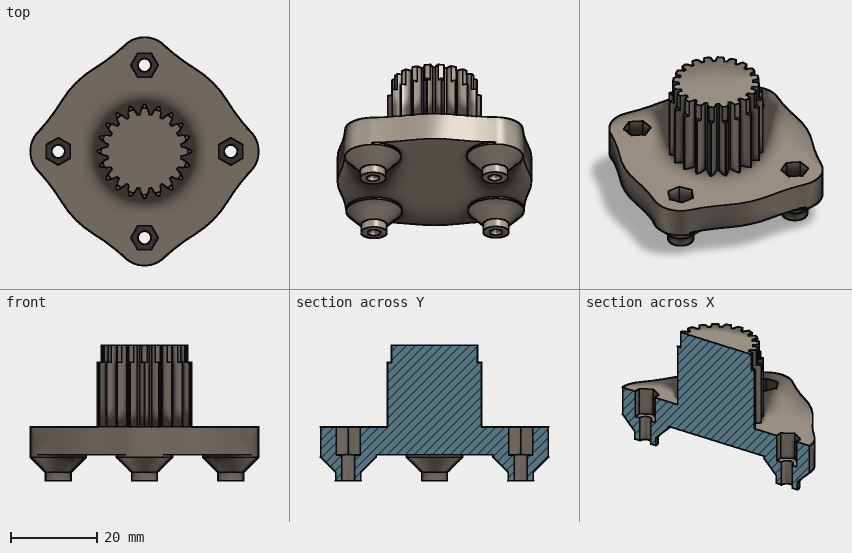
import cadquery as cq
import math

PIN_LENGTH = 2.0
CONE_HEIGHT = 3.5
LIP_HEIGHT = 0.5
FLANGE_THICKNESS = 6.5
GEAR_FULL_HEIGHT = 15.0
GEAR_TOP_HEIGHT = 4.0

CONE_BOTTOM_Z = PIN_LENGTH
LIP_BOTTOM_Z = CONE_BOTTOM_Z + CONE_HEIGHT
FLANGE_BOTTOM_Z = LIP_BOTTOM_Z + LIP_HEIGHT
FLANGE_TOP_Z = FLANGE_BOTTOM_Z + FLANGE_THICKNESS
GEAR_STEP_Z = FLANGE_TOP_Z + GEAR_FULL_HEIGHT

CORNER_COUNT = 4
CORNER_ANGLE = 360 / CORNER_COUNT
BOLT_RADIUS = 20.0
CORNER_RADIUS = 6.5
BULGE_RADIUS = 22.5
HOLLOW_RADIUS = 45.0

PIN_DIAMETER = 6.0
BOLT_HOLE_DIAMETER = 3.0
NUT_SIDES = 6
NUT_ACROSS_FLATS = 5.5
NUT_POCKET_DEPTH = FLANGE_THICKNESS

TOOTH_COUNT = 20
TOOTH_ANGLE = 360 / TOOTH_COUNT
ROOT_RADIUS = 8.6
PITCH_RADIUS = 10.0
TIP_RADIUS = 10.95
ROOT_HALF_WIDTH = 1.05
PITCH_HALF_WIDTH = 0.66
TIP_HALF_WIDTH = 0.11


def polar(radius, degrees):
    """Point at a radius and angle about the part's axis."""
    angle = math.radians(degrees)
    return (radius * math.cos(angle), radius * math.sin(angle))


def toward(start, target, distance):
    """Point at a distance from start along the line to target."""
    ratio = distance / math.dist(start, target)
    return (start[0] + ratio * (target[0] - start[0]), start[1] + ratio * (target[1] - start[1]))


def hollow_center_angle():
    """Angle from a corner to the center of the hollow arc tangent to that corner and the bulge."""
    to_axis = BULGE_RADIUS + HOLLOW_RADIUS
    to_corner = CORNER_RADIUS + HOLLOW_RADIUS
    cosine = (to_axis**2 + BOLT_RADIUS**2 - to_corner**2) / (2 * to_axis * BOLT_RADIUS)
    return math.degrees(math.acos(cosine))


def corner_joint(corner_angle, hollow_angle):
    """Tangent point of a round corner and the hollow arc beside it."""
    hollow_center = polar(BULGE_RADIUS + HOLLOW_RADIUS, hollow_angle)
    return toward(polar(BOLT_RADIUS, corner_angle), hollow_center, CORNER_RADIUS)


def hollow_middle(corner_end, bulge_end, hollow_angle):
    """Middle point of the hollow arc."""
    hollow_center = polar(BULGE_RADIUS + HOLLOW_RADIUS, hollow_angle)
    chord_middle = ((corner_end[0] + bulge_end[0]) / 2, (corner_end[1] + bulge_end[1]) / 2)
    return toward(hollow_center, chord_middle, HOLLOW_RADIUS)


def make_flange():
    offset = hollow_center_angle()
    outline = cq.Workplane("XY", origin=(0, 0, FLANGE_BOTTOM_Z)).moveTo(*corner_joint(0, -offset))
    for index in range(CORNER_COUNT):
        corner = index * CORNER_ANGLE
        next_corner = corner + CORNER_ANGLE
        leaving = corner + offset
        arriving = next_corner - offset
        corner_end = corner_joint(corner, leaving)
        bulge_start = polar(BULGE_RADIUS, leaving)
        bulge_end = polar(BULGE_RADIUS, arriving)
        next_corner_start = corner_joint(next_corner, arriving)
        outline = (
            outline.threePointArc(polar(BOLT_RADIUS + CORNER_RADIUS, corner), corner_end)
            .threePointArc(hollow_middle(corner_end, bulge_start, leaving), bulge_start)
            .threePointArc(polar(BULGE_RADIUS, corner + CORNER_ANGLE / 2), bulge_end)
            .threePointArc(hollow_middle(next_corner_start, bulge_end, arriving), next_corner_start)
        )
    return outline.close().extrude(FLANGE_THICKNESS)


def tooth_point(radius, half_width, tooth_angle, side):
    """Point on the left (+1) or right (-1) flank of the tooth at the given angle."""
    return polar(radius, tooth_angle + side * math.degrees(math.asin(half_width / radius)))


def make_gear():
    outline = cq.Workplane("XY", origin=(0, 0, FLANGE_TOP_Z))
    outline = outline.moveTo(*tooth_point(ROOT_RADIUS, ROOT_HALF_WIDTH, 0, -1))
    for index in range(TOOTH_COUNT):
        angle = index * TOOTH_ANGLE
        next_root = tooth_point(ROOT_RADIUS, ROOT_HALF_WIDTH, angle + TOOTH_ANGLE, -1)
        outline = (
            outline.threePointArc(
                tooth_point(PITCH_RADIUS, PITCH_HALF_WIDTH, angle, -1),
                tooth_point(TIP_RADIUS, TIP_HALF_WIDTH, angle, -1),
            )
            .threePointArc(
                polar(TIP_RADIUS, angle),
                tooth_point(TIP_RADIUS, TIP_HALF_WIDTH, angle, 1),
            )
            .threePointArc(
                tooth_point(PITCH_RADIUS, PITCH_HALF_WIDTH, angle, 1),
                tooth_point(ROOT_RADIUS, ROOT_HALF_WIDTH, angle, 1),
            )
            .threePointArc(polar(ROOT_RADIUS, angle + TOOTH_ANGLE / 2), next_root)
        )
    gear = outline.close().extrude(GEAR_FULL_HEIGHT + GEAR_TOP_HEIGHT)

    turned_ring = (
        cq.Workplane("XY", origin=(0, 0, GEAR_STEP_Z))
        .circle(2 * TIP_RADIUS)
        .circle(PITCH_RADIUS)
        .extrude(GEAR_TOP_HEIGHT)
    )
    return gear.cut(turned_ring)


def make_foot():
    """Pin, cone and lip stacked along the Z axis, reaching the underside of the flange."""
    pin_radius = PIN_DIAMETER / 2
    pin = cq.Workplane("XY").circle(pin_radius).extrude(PIN_LENGTH)
    cone = cq.Workplane(
        cq.Solid.makeCone(pin_radius, CORNER_RADIUS, CONE_HEIGHT, pnt=cq.Vector(0, 0, CONE_BOTTOM_Z))
    )
    lip = cq.Workplane("XY", origin=(0, 0, LIP_BOTTOM_Z)).circle(CORNER_RADIUS).extrude(LIP_HEIGHT)

    inward_seam = 180
    return pin.union(cone).union(lip).rotate((0, 0, 0), (0, 0, 1), inward_seam)


def make_bolt_cutter():
    """Bolt hole through the foot, with a hexagonal nut pocket sunk from the flange top."""
    across_corners = NUT_ACROSS_FLATS / math.cos(math.pi / NUT_SIDES)
    hole = cq.Workplane("XY").circle(BOLT_HOLE_DIAMETER / 2).extrude(FLANGE_TOP_Z)
    pocket = (
        cq.Workplane("XY", origin=(0, 0, FLANGE_TOP_Z - NUT_POCKET_DEPTH))
        .transformed(rotate=(0, 0, 90))
        .polygon(NUT_SIDES, across_corners)
        .extrude(NUT_POCKET_DEPTH)
    )
    return hole.union(pocket)


def at_corner(shape, index):
    """Move a shape from the axis to a corner, turning it to face outward."""
    return shape.translate((BOLT_RADIUS, 0, 0)).rotate((0, 0, 0), (0, 0, 1), index * CORNER_ANGLE)


result = make_flange().union(make_gear())

for index in range(CORNER_COUNT):
    result = result.union(at_corner(make_foot(), index))
    result = result.cut(at_corner(make_bolt_cutter(), index))
result = result.clean()